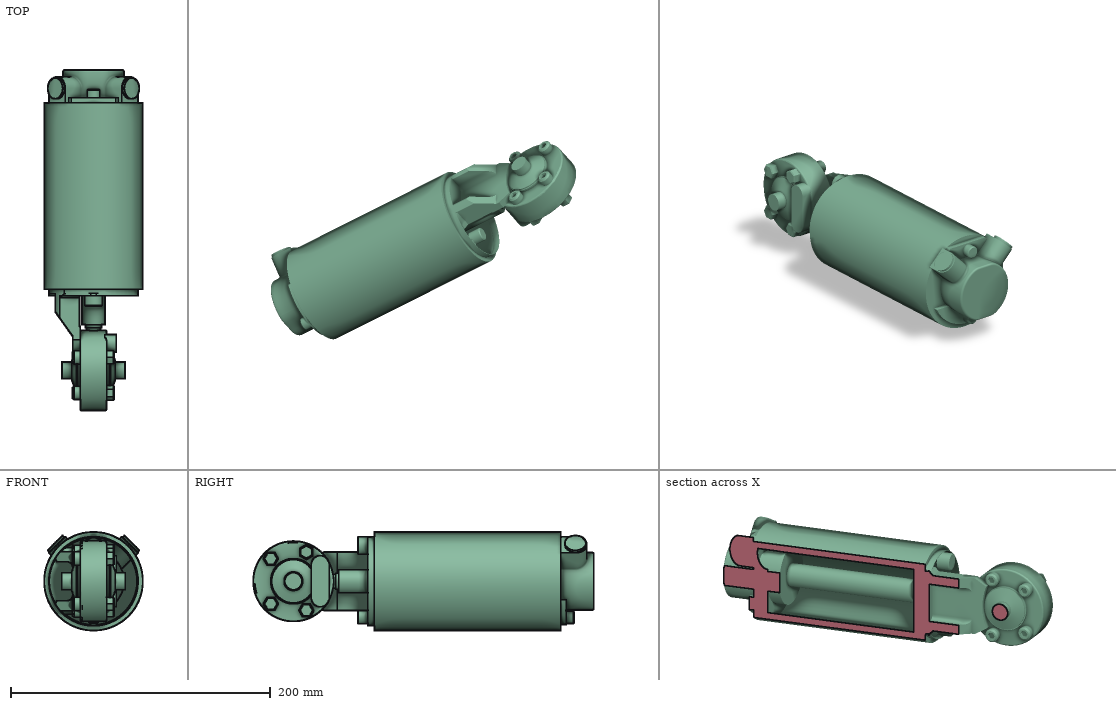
import cadquery as cq
import math


overall_length = 262.3
barrel_radius = 38.05
bore_radius = 33.5
collar_radius = 34.4
collar_bore_radius = 34.0
collar_length = 5.0

roller_radius = 31.0
roller_half_width = 10.1
roller_edge = 1.3
roller_y = -62.4

knob_length = 25.4
knob_radius = 23.5
knob_edge = 1.5
knob_flat_z = 22.2
knob_ridge_fillet = 13.0
barrel_length = overall_length + roller_y - roller_radius - knob_length

cap_thickness = 12.0
cap_boss_radius = knob_radius
cap_boss_height = 10.0
cap_front = barrel_length - cap_thickness
cap_groove_radius = 8.7

axle_radius = 6.6
axle_half_length = 24.3
hub_flange_radius = 17.5
hub_flange_x = 12.2
hub_radius = 16.7
cone_base_x = 13.2
cone_tip_radius = 7.2
cone_tip_x = 16.9

bolt_circle_radius = 24.6
bolts = ((45, 0), (114, 30), (-114, 0), (-45, 0))
bolt_head_radius = 5.2
bolt_head_x = 16.2
bolt_head_edge = 1.2
socket_diameter = 5.8
socket_depth = 3.0
nut_diameter = 11.6
nut_x = 15.9
nut_edge = 0.8

guard_height = 39.4
guard_width = 13.8
guard_y = -41.7
guard_x = 17.7
guard_back_x = roller_half_width - roller_edge

rod_radius = 9.0
rod_front = -27.3
neck_length = 2.4
neck_radius = 6.2
neck_tip_radius = 5.4

arm_half_height = 22.6
web_outer_x = -16.1
web_inner_x = -10.6
pocket_half_height = 14.9
pocket_fillet = 4.0
pocket_mouth_depth = 1.4
pocket_mouth_half_height = 17.8
arm_back_y = -3.0
taper_start_y = -17.2
taper_end_y = -36.2
taper_start_x = -29.6
end_corner_y = -38.8
end_tip_y = -48.3
end_tip_z = 17.0
end_arc_y = -45.1
arm_step_y = -28.5

foot_half_height = 25.6
foot_back_y = 10.0
foot_front_y = -3.4

upper_stud_radius = 6.7
upper_stud_z = 27.6
lower_stud_radius = 5.2
lower_stud_z = -27.6
lower_link_width = 5.0
stud_tip_y = -13.0
stud_edge = 0.7
screw_radius = 4.8
screw_z = 27.9
screw_length = 10.3

port_angle = 45
port_radius = 8.9
port_root_fillet = 1.2
port_y = barrel_length + 11.2
port_length = 39.7
plug_radius = 8.1
plug_length = 41.8
rear_foot_half_width = 20.0
rear_foot_height = 33.8
rear_foot_corner = 2.8
lower_foot_radius = 33.4
rear_foot_thickness = 4.0
rear_foot_z = 14.3

selection_tolerance = 0.01
edge_sample_fractions = (0.1, 0.5, 0.9)


def cylinder_y(radius, y_start, y_end, z=0):
    direction = cq.Vector(0, 1, 0)
    return cq.Workplane(cq.Solid.makeCylinder(radius, y_end - y_start, cq.Vector(0, y_start, z), direction))


def cylinder_x(radius, x_start, x_end, y, z):
    direction = cq.Vector(1, 0, 0)
    return cq.Workplane(cq.Solid.makeCylinder(radius, x_end - x_start, cq.Vector(x_start, y, z), direction))


def box(x_range, y_range, z_range):
    sizes = [high - low for low, high in (x_range, y_range, z_range)]
    return cq.Workplane().box(*sizes, centered=False).translate((x_range[0], y_range[0], z_range[0]))


def make_barrel():
    barrel = cylinder_y(barrel_radius, 0, barrel_length)
    barrel = barrel.union(cylinder_y(collar_radius, -collar_length, 0))
    barrel = barrel.cut(cylinder_y(collar_bore_radius, -collar_length, 0))
    barrel = barrel.cut(cylinder_y(bore_radius, 0, cap_front))
    for side in (-1, 1):
        groove = cq.Workplane("XY").circle(cap_groove_radius).extrude(bore_radius)
        groove = groove.translate((0, cap_front, 0))
        barrel = barrel.cut(groove.rotate((0, 0, 0), (0, 1, 0), side * port_angle))
    return barrel.union(cylinder_y(cap_boss_radius, cap_front - cap_boss_height, barrel_length))


def make_rod():
    neck_front = rod_front - neck_length
    rod = cylinder_y(rod_radius, rod_front, cap_front)
    rod = rod.union(cylinder_y(neck_radius, neck_front, rod_front))
    return rod.union(cylinder_y(neck_tip_radius, roller_y, neck_front))


def make_roller():
    wheel = cylinder_x(roller_radius, -roller_half_width, roller_half_width, roller_y, 0)
    wheel = wheel.edges("%CIRCLE").fillet(roller_edge)
    hub_profile = [
        (hub_flange_x, 0),
        (hub_flange_x, hub_flange_radius),
        (-hub_flange_x, hub_flange_radius),
        (-hub_flange_x, 0),
    ]
    hub = cq.Workplane("XY").polyline(hub_profile).close().revolve(360, (0, 0, 0), (1, 0, 0))
    cone_profile = [
        (-cone_tip_x, 0),
        (-cone_tip_x, cone_tip_radius),
        (-cone_base_x, hub_radius),
        (cone_base_x, hub_radius),
        (cone_tip_x, cone_tip_radius),
        (cone_tip_x, 0),
    ]
    cone = cq.Workplane("XY").polyline(cone_profile).close().revolve(360, (0, 0, 0), (1, 0, 0))
    axle = cylinder_x(axle_radius, -axle_half_length, axle_half_length, roller_y, 0)
    return wheel.union(hub.union(cone).translate((0, roller_y, 0))).union(axle)


def make_roller_bolt(angle, nut_turn):
    y = roller_y - bolt_circle_radius * math.cos(math.radians(angle))
    z = bolt_circle_radius * math.sin(math.radians(angle))
    head = cylinder_x(bolt_head_radius, -bolt_head_x, -roller_half_width, y, z)
    head = head.faces("<X").edges().chamfer(bolt_head_edge)
    socket = cq.Workplane("YZ").polygon(6, socket_diameter).extrude(socket_depth)
    head = head.cut(socket.translate((-bolt_head_x, y, z)))
    nut = cq.Workplane("YZ").polygon(6, nut_diameter).extrude(nut_x - roller_half_width)
    nut = nut.rotate((0, 0, 0), (1, 0, 0), nut_turn)
    nut = nut.faces(">X").edges().chamfer(nut_edge)
    return head.union(nut.translate((roller_half_width, y, z)))


def make_guard():
    guard = cq.Workplane("YZ").slot2D(guard_height, guard_width, 90).extrude(guard_x - guard_back_x)
    return guard.translate((guard_back_x, guard_y, 0))


def make_arm():
    side_outline = (
        cq.Workplane("YZ")
        .moveTo(arm_back_y, -arm_half_height)
        .lineTo(end_corner_y, -arm_half_height)
        .lineTo(end_tip_y, -end_tip_z)
        .threePointArc((end_arc_y, 0), (end_tip_y, end_tip_z))
        .lineTo(end_corner_y, arm_half_height)
        .lineTo(arm_back_y, arm_half_height)
        .close()
        .extrude(-collar_radius)
    )
    plan_points = [
        (web_inner_x, arm_back_y),
        (-collar_radius, arm_back_y),
        (-collar_radius, taper_start_y),
        (taper_start_x, taper_start_y),
        (web_outer_x, taper_end_y),
        (web_outer_x, end_tip_y),
        (-roller_half_width, end_tip_y),
        (-roller_half_width, arm_step_y),
        (web_inner_x, arm_step_y),
    ]
    plan = cq.Workplane("XY").polyline(plan_points).close().extrude(arm_half_height, both=True)
    arm = side_outline.intersect(plan)
    arm = arm.intersect(cylinder_y(collar_radius, end_tip_y, arm_back_y))
    pocket_z = (-pocket_half_height, pocket_half_height)
    pocket = box((-barrel_radius, web_outer_x), (taper_end_y, arm_back_y), pocket_z)
    pocket = pocket.faces(">X").edges("|Y").fillet(pocket_fillet)
    mouth_x = taper_start_x + pocket_mouth_depth
    mouth = (
        cq.Workplane("XZ", origin=(0, arm_back_y, 0))
        .polyline(
            [
                (mouth_x, -pocket_half_height),
                (taper_start_x, -pocket_mouth_half_height),
                (-barrel_radius, -pocket_mouth_half_height),
                (-barrel_radius, pocket_mouth_half_height),
                (taper_start_x, pocket_mouth_half_height),
                (mouth_x, pocket_half_height),
            ]
        )
        .close()
        .extrude(arm_back_y - taper_end_y)
    )
    return arm.cut(pocket).cut(mouth)


def make_arm_foot():
    rise = foot_half_height - arm_half_height
    foot_points = [
        (foot_back_y, -foot_half_height),
        (foot_back_y, foot_half_height),
        (foot_front_y, foot_half_height),
        (foot_front_y - rise, arm_half_height),
        (foot_front_y, arm_half_height),
        (foot_front_y, -arm_half_height),
        (foot_front_y - rise, -arm_half_height),
        (foot_front_y, -foot_half_height),
    ]
    foot = cq.Workplane("YZ").polyline(foot_points).close().extrude(-barrel_radius - web_inner_x)
    foot = foot.translate((web_inner_x, 0, 0))
    return foot.intersect(cylinder_y(collar_bore_radius, foot_front_y - rise, foot_back_y))


def make_front_studs():
    upper = cylinder_y(upper_stud_radius, stud_tip_y, arm_back_y, z=upper_stud_z)
    lower = cylinder_y(lower_stud_radius, stud_tip_y, arm_back_y, z=lower_stud_z)
    studs = upper.faces("<Y").chamfer(stud_edge).union(lower.faces("<Y").chamfer(stud_edge))
    link_half = lower_link_width / 2
    link_bottom = -(collar_radius + collar_bore_radius) / 2
    link = box((-link_half, link_half), (-collar_length, arm_back_y), (link_bottom, lower_stud_z))
    return studs.union(link)


def make_knob():
    knob_end = barrel_length + knob_length
    knob = cylinder_y(knob_radius, barrel_length, knob_end)
    sides = (-knob_radius, knob_radius)
    knob = knob.intersect(box(sides, (barrel_length, knob_end), (-knob_flat_z, knob_flat_z)))
    ridges = knob.faces(">Z or <Z").edges("|Y")
    knob = knob.newObject(ridges.objects).fillet(knob_ridge_fillet)
    return knob.faces(">Y").edges().fillet(knob_edge)


def make_port(angle):
    body = cq.Workplane("XY").circle(port_radius).extrude(port_length)
    skirt = box((-port_radius, port_radius), (barrel_length - port_y, 0), (0, port_length))
    plug = cq.Workplane("XY").circle(plug_radius).extrude(plug_length)
    port = body.union(skirt).union(plug).translate((0, port_y, 0))
    return port.rotate((0, 0, 0), (0, 1, 0), angle)


def is_port_root(edge):
    """True for an edge where a port meets the round side of the knob."""
    first_y = barrel_length + selection_tolerance
    last_y = barrel_length + knob_length - knob_edge - selection_tolerance
    for fraction in edge_sample_fractions:
        point = edge.positionAt(fraction)
        on_knob = abs(math.hypot(point.x, point.z) - knob_radius) < selection_tolerance
        if not (on_knob and first_y < point.y < last_y and point.z > 0):
            return False
    return True


def make_upper_foot():
    foot = box(
        (-rear_foot_half_width, rear_foot_half_width),
        (barrel_length, barrel_length + rear_foot_thickness),
        (rear_foot_z, rear_foot_height),
    )
    return foot.faces(">Z").edges("|Y").chamfer(rear_foot_corner)


def make_lower_foot():
    foot_end = barrel_length + rear_foot_thickness
    segment = box((-barrel_radius, barrel_radius), (barrel_length, foot_end), (-barrel_radius, -rear_foot_z))
    return segment.intersect(cylinder_y(lower_foot_radius, barrel_length, foot_end))


def make_rear_screw(z):
    screw = cylinder_y(screw_radius, barrel_length, barrel_length + screw_length, z=z)
    return screw.faces(">Y").chamfer(stud_edge)


def make_rear_end():
    rear = make_knob()
    for side in (-1, 1):
        rear = rear.union(make_port(side * port_angle))
    roots = [edge for edge in rear.edges().vals() if is_port_root(edge)]
    rear = rear.newObject(roots).fillet(port_root_fillet)
    rear = rear.union(make_upper_foot()).union(make_lower_foot())
    for side in (-1, 1):
        rear = rear.union(make_rear_screw(side * screw_z))
    return rear


result = make_barrel().union(make_rod()).union(make_roller()).union(make_guard())
result = result.union(make_arm()).union(make_arm_foot()).union(make_front_studs())
for bolt_angle, turn in bolts:
    result = result.union(make_roller_bolt(bolt_angle, turn))
result = result.union(make_rear_end())